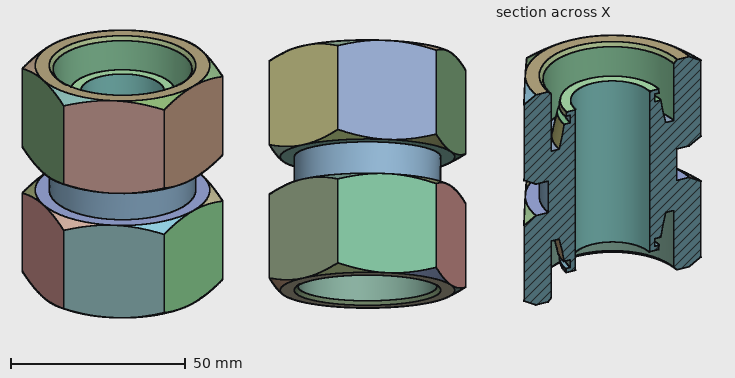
import cadquery as cq
import math

total_length = 68.0
across_flats = 50.0
hexagon_sides = 6
nut_length = 29.0
body_diameter = 42.0
through_bore_diameter = 24.0

nut_chamfer_angle = math.radians(30)
socket_diameter = 39.84

nose_recess = 8.0
nose_tip_diameter = 30.0
nose_base_diameter = 34.85
nose_half_angle = math.radians(12)

groove_start = 1.5
groove_width = 2.3
groove_floor_diameter = 27.6

half_length = total_length / 2
across_corners = across_flats / math.cos(math.pi / hexagon_sides)
nut_bottom = half_length - nut_length
nut_chamfer_height = (across_corners - across_flats) / 2 * math.tan(nut_chamfer_angle)
entry_chamfer = (body_diameter - socket_diameter) / 2
nose_tip_height = half_length - nose_recess
nose_length = (nose_base_diameter - nose_tip_diameter) / 2 / math.tan(nose_half_angle)
socket_floor_height = nose_tip_height - nose_length


def revolve_profile(points):
    """Turn a closed (radius, height) outline around the Z axis."""
    return cq.Workplane("XZ").polyline(points).close().revolve(360, (0, 0, 0), (0, 1, 0))


def make_nut():
    """Upper hexagon with corners along Y, chamfered at both ends."""
    prism = (
        cq.Workplane("XY", origin=(0, 0, nut_bottom))
        .polygon(hexagon_sides, across_corners)
        .extrude(nut_length)
        .rotate((0, 0, 0), (0, 0, 1), 180 / hexagon_sides)
    )
    face_radius = across_flats / 2
    corner_radius = across_corners / 2
    envelope = revolve_profile([
        (0, nut_bottom),
        (face_radius, nut_bottom),
        (corner_radius, nut_bottom + nut_chamfer_height),
        (corner_radius, half_length - nut_chamfer_height),
        (face_radius, half_length),
        (0, half_length),
    ])
    return prism.intersect(envelope)


def make_socket():
    """Cavity of the upper socket, including its chamfered mouth."""
    socket_radius = socket_diameter / 2
    return revolve_profile([
        (0, socket_floor_height),
        (socket_radius, socket_floor_height),
        (socket_radius, half_length - entry_chamfer),
        (socket_radius + entry_chamfer, half_length),
        (0, half_length),
    ])


def nose_radius(depth):
    """Radius of the nose cone at a depth below its tip."""
    return nose_tip_diameter / 2 + depth * math.tan(nose_half_angle)


def make_nose():
    """Upper sealing cone with a square groove for a seal ring."""
    groove_end = groove_start + groove_width
    groove_floor_radius = groove_floor_diameter / 2
    return revolve_profile([
        (0, socket_floor_height),
        (nose_radius(nose_length), socket_floor_height),
        (nose_radius(groove_end), nose_tip_height - groove_end),
        (groove_floor_radius, nose_tip_height - groove_end),
        (groove_floor_radius, nose_tip_height - groove_start),
        (nose_radius(groove_start), nose_tip_height - groove_start),
        (nose_radius(0), nose_tip_height),
        (0, nose_tip_height),
    ])


def on_both_ends(upper_shape):
    """Pair an upper-end shape with its mirror image about the middle plane."""
    return upper_shape.union(upper_shape.mirror("XY"))


def make_cylinder(diameter, length):
    """Cylinder on the Z axis, centred on the middle plane."""
    base = cq.Workplane("XY", origin=(0, 0, -length / 2))
    return base.circle(diameter / 2).extrude(length)


nuts = on_both_ends(make_nut())
sockets = on_both_ends(make_socket())
noses = on_both_ends(make_nose())
body = make_cylinder(body_diameter, 2 * nut_bottom)
through_bore = make_cylinder(through_bore_diameter, total_length)

result = body.union(nuts).cut(sockets).union(noses).cut(through_bore)